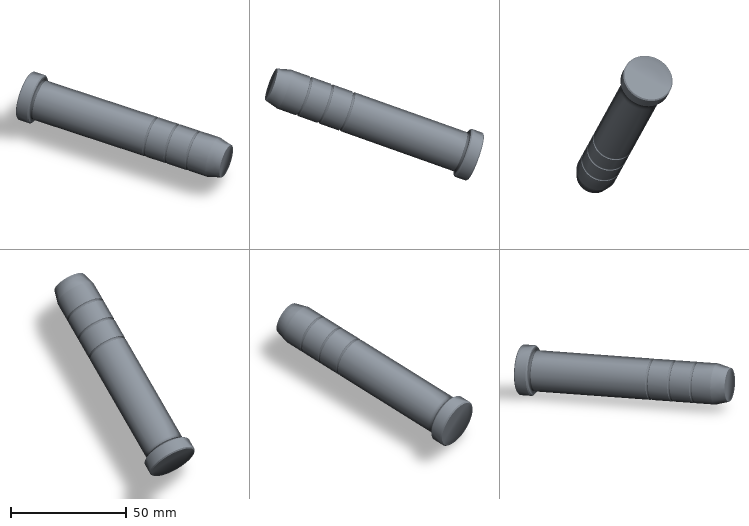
import cadquery as cq
import math

total_length = 95
head_diameter = 22.0
head_thickness = 6.0
head_chamfer = 0.5
shank_diameter = 18.0
groove_width = 1.1
groove_depth = 0.5
first_groove_center = 59.9
groove_spacing = 10.0
groove_count = 3
taper_length = 6.0
taper_angle = 15

head_radius = head_diameter / 2
shank_radius = shank_diameter / 2
tip_radius = shank_radius - taper_length * math.tan(math.radians(taper_angle))


def make_head():
    head = cq.Workplane("YZ").circle(head_radius).extrude(head_thickness)
    return head.edges().chamfer(head_chamfer)


def make_shank():
    """Cylinder with a conical lead-in at its free end."""
    profile = (
        cq.Workplane("XY")
        .moveTo(head_thickness, 0)
        .lineTo(head_thickness, shank_radius)
        .lineTo(total_length - taper_length, shank_radius)
        .lineTo(total_length, tip_radius)
        .lineTo(total_length, 0)
        .close()
    )
    return profile.revolve(360, (0, 0, 0), (1, 0, 0))


def make_groove(center):
    """Ring to cut from the shank, with a round-bottomed section."""
    half_width = groove_width / 2
    profile = (
        cq.Workplane("XY")
        .moveTo(center - half_width, shank_radius)
        .threePointArc((center, shank_radius - groove_depth), (center + half_width, shank_radius))
        .close()
    )
    return profile.revolve(360, (0, 0, 0), (1, 0, 0))


groove_centers = [head_thickness + groove_width / 2]
for index in range(groove_count):
    groove_centers.append(first_groove_center + index * groove_spacing)

shank = make_shank()
for groove_center in groove_centers:
    shank = shank.cut(make_groove(groove_center))

result = make_head().union(shank)